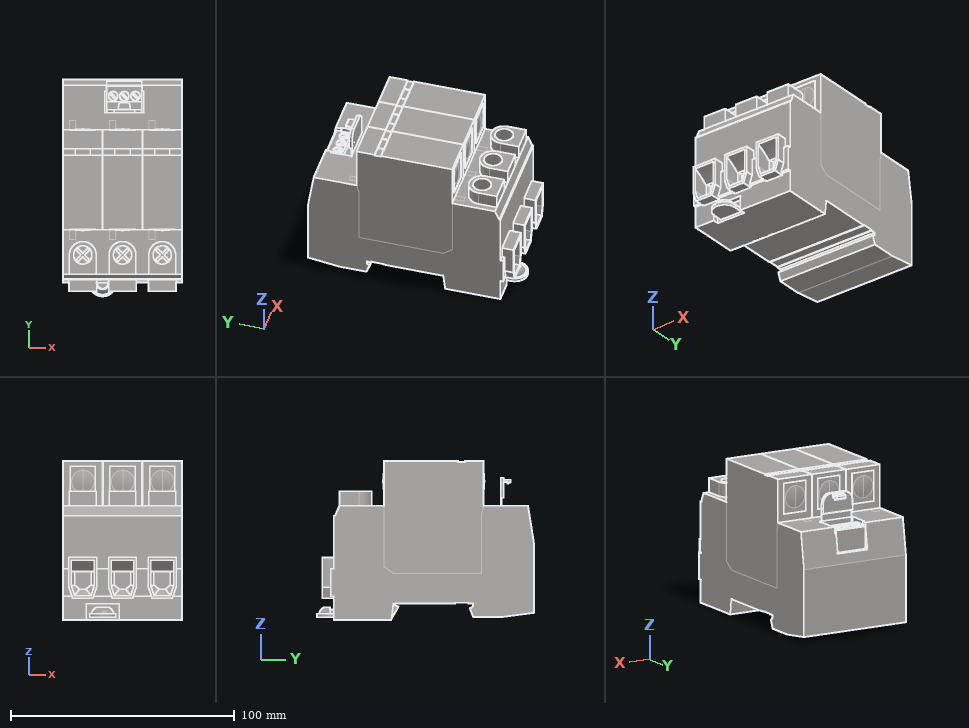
import cadquery as cq
import math


POLE_PITCH = 17.8
POLE_CENTERS = [-POLE_PITCH, 0, POLE_PITCH]
WIDTH = 3 * POLE_PITCH
LEDGE_Z = 51.25
TOP_Z = 71.3
REAR_Y = 89.75

FRONT_CHAMFER_Y = 2.5
FRONT_CHAMFER_Z = 46.8
FRONT_LIP_Y = 0.55
REAR_SLOPE_TOP_Y = 87.1
REAR_SLOPE_BASE_Z = 34.5
REAR_FOOT_Z = 1.3
RAIL_Z = 7.4
RAIL_JAW_FOOT_Y = 25.8
RAIL_FRONT_Y = 26.7
RAIL_REAR_Y = 62.3
RAIL_HOOK_TIP = (60.9, 5.2)
RAIL_HOOK_TOP_Z = 6.2
RAIL_HOOK_FOOT_Y = 62.5
REAR_FOOT_END_Y = 75.2
REAR_BOTTOM_Z = 3.2
RAIL_RELIEF = 0.3
RAIL_RELIEF_Y = (54.5, 60.2)

BAND_DEPTH = 1.3
BAND_BOTTOM_Z = 10.65
BAND_TOP_Z = 22.9
TERMINAL_DEPTH = 5.25
TERMINAL_WIDTH = 12.5
TERMINAL_FOOT_WIDTH = 9.0
TERMINAL_BOTTOM_Z = 9.7
TERMINAL_TAPER_Z = 14.8
TERMINAL_TOP_Z = 28.05
MOUTH_WIDTH = 10.1
MOUTH_FOOT_WIDTH = 7.4
MOUTH_BOTTOM_Z = 11.0
MOUTH_TAPER_Z = 15.3
MOUTH_TOP_Z = 26.8
MOUTH_CEILING_DROP = 4.9
MOUTH_CEILING_SAG = 0.35
MOUTH_DEPTH = 8.0
FUNNEL_LENGTH = 1.4
FUNNEL_END_WIDTH = 7.4
FUNNEL_END_FOOT_WIDTH = 2.9
FUNNEL_END_BOTTOM_Z = 13.9
FUNNEL_END_TAPER_Z = 15.7
FUNNEL_END_TOP_Z = 21.6

BOSS_RADIUS = 6.0
BOSS_CENTER_Y = 11.1
BOSS_TOP_Z = 57.75
SCREW_HOLE_DIAMETER = 8.2
SCREW_HOLE_DEPTH = 10.0
CROSS_WIDTH = 1.2
CROSS_LENGTH = 7.4
CROSS_DEPTH = 1.0

MODULE_FRONT_Y = 22.5
MODULE_REAR_Y = 67.1
MODULE_ENDS = [(MODULE_FRONT_Y, -1), (MODULE_REAR_Y, 1)]
MODULE_INNER_REAR_Y = 66.1
MODULE_BOTTOM_Z = 20.9
MODULE_STEP_Z = 47.4
MODULE_CHAMFER_Y = 4.2
MODULE_CHAMFER_Z = 3.1
SEAM_WIDTH = 0.2
GROOVE_Y = (55.75, 58.7)
GROOVE_DEPTH = 0.4
GRIP_WIDTH = 6.8
GRIP_DEPTH = 0.5
FOOT_OFFSET = 4.65
FOOT_WIDTH = 2.7
FOOT_LENGTH = 4.4
FOOT_HEIGHT = 2.0

WINDOW_WIDTH = 11.4
WINDOW_BOTTOM_Z = 54.8
WINDOW_TOP_Z = 69.0
WINDOW_DEPTH = 0.1
LENS_RADIUS = 5.1
LENS_HEIGHT = 0.55
LENS_Z = 62.2

CLIP_X = -POLE_PITCH / 2
CLIP_RECESS_WIDTH = 14.9
CLIP_RECESS_DEPTH = 3.0
CLIP_RECESS_TOP_Z = 7.4
TAB_RADIUS = 5.88
TAB_CENTER_Y = -1.65
TAB_BOTTOM_Z = 1.2
TAB_TOP_Z = 2.9
KNOB_BASE_RADIUS = 5.0
KNOB_TOP_RADIUS = 2.7
KNOB_TOP_Z = 5.8
KNOB_BULGE = 0.3
KNOB_POCKET_WIDTH = 4.7
KNOB_WEB_WIDTH = 7.0
KNOB_WEB_Z = 4.8
CATCH_TIP_Y = 29.1
CATCH_TIP_Z = 6.1
CATCH_BOTTOM_Z = 0.4
CATCH_STEM_Y = 27.4
CATCH_SHOULDER_Z = 6.6

CONNECTOR_X = 0.8
SOCKET_FRONT_Y = 74.8
SOCKET_WIDE_END_Y = 84.5
SOCKET_WIDE_WIDTH = 17.5
SOCKET_WIDTH = 16.2
SOCKET_MOUTH_WIDTH = 15.5
SOCKET_FLOOR_Z = 39.2
PLUG_WIDTH = 15.5
PLUG_FRONT_Y = 76.2
PLUG_STEP_Y = 79.7
PLUG_REAR_Y = REAR_SLOPE_TOP_Y
PLUG_CHAMFER = 0.5
PLUG_TOP_Z = 50.0
PLUG_STEP_DROP = 3.0
PLUG_SCREW_Y = 82.3
PLUG_SCREW_PITCH = 5.0
PLUG_SCREW_DIAMETER = 4.1
PLUG_SCREW_DEPTH = 0.6
PLUG_SLOT_WIDTH = 0.8
PLUG_SLOT_ANGLE = -45
TAG_WIDTH = PLUG_WIDTH
TAG_CREST_WIDTH = 9.2
TAG_SHEET_THICKNESS = 0.45
TAG_THICKNESS = 1.4
TAG_BOTTOM_Z = 54.8
TAG_SHOULDER_Z = 59.2
TAG_TOP_Z = 63.8
LEVER_WIDTH = 5.2
LEVER_TIP_WIDTH = 4.4
LEVER_TIP_Y = 79.4
LEVER_BARB_Y = 77.8
LEVER_BARB_Z = 61.0
LEVER_BOTTOM_Z = 61.8
LEVER_TOP_Z = 62.9
LEVER_RAMP_Y = (75.9, 76.5)


def box(x_range, y_range, z_range):
    """Axis-aligned box between the given limits."""
    (x0, x1), (y0, y1), (z0, z1) = x_range, y_range, z_range
    return cq.Workplane("XY").box(x1 - x0, y1 - y0, z1 - z0, centered=False).translate((x0, y0, z0))


def around(center, width):
    """Limits of a width centred on a position."""
    return (center - width / 2, center + width / 2)


def side_prism(points, width, center_x=0):
    """Prism along X with a (Y, Z) outline."""
    prism = cq.Workplane("YZ").polyline(points).close().extrude(width / 2, both=True)
    return prism.translate((center_x, 0, 0))


def tapered_outline(width, foot_width, bottom_z, taper_z, top_z):
    """Hexagonal (X, Z) outline with straight sides and a narrowed foot."""
    return [
        (-width / 2, top_z),
        (width / 2, top_z),
        (width / 2, taper_z),
        (foot_width / 2, bottom_z),
        (-foot_width / 2, bottom_z),
        (-width / 2, taper_z),
    ]


def front_workplane(y):
    """XZ workplane at the given Y; positive extrusion runs toward -Y."""
    return cq.Workplane("XZ", origin=(0, y, 0))


def base_body():
    body = side_prism(
        [
            (0, 0),
            (RAIL_JAW_FOOT_Y, 0),
            (RAIL_FRONT_Y, RAIL_Z),
            (RAIL_RELIEF_Y[0], RAIL_Z),
            (RAIL_RELIEF_Y[0], RAIL_Z + RAIL_RELIEF),
            (RAIL_RELIEF_Y[1], RAIL_Z + RAIL_RELIEF),
            (RAIL_RELIEF_Y[1], RAIL_Z),
            (RAIL_REAR_Y, RAIL_Z),
            (RAIL_REAR_Y, RAIL_HOOK_TOP_Z),
            RAIL_HOOK_TIP,
            (RAIL_HOOK_FOOT_Y, REAR_FOOT_Z),
            (REAR_FOOT_END_Y, REAR_FOOT_Z),
            (REAR_Y, REAR_BOTTOM_Z),
            (REAR_Y, REAR_SLOPE_BASE_Z),
            (REAR_SLOPE_TOP_Y, LEDGE_Z),
            (FRONT_CHAMFER_Y, LEDGE_Z),
            (FRONT_LIP_Y, FRONT_CHAMFER_Z),
            (0, FRONT_CHAMFER_Z),
        ],
        WIDTH,
    )
    band = box(around(0, WIDTH), (-BAND_DEPTH, 0), (BAND_BOTTOM_Z, BAND_TOP_Z))
    return body.union(band)


def terminal_shell():
    outline = tapered_outline(
        TERMINAL_WIDTH, TERMINAL_FOOT_WIDTH, TERMINAL_BOTTOM_Z, TERMINAL_TAPER_Z, TERMINAL_TOP_Z
    )
    return front_workplane(0).polyline(outline).close().extrude(TERMINAL_DEPTH)


def terminal_cavity():
    """Mouth with an arched ceiling, leading into a funnel."""
    ceiling_base_z = MOUTH_TOP_Z - MOUTH_CEILING_DROP
    mouth_end_y = MOUTH_DEPTH - TERMINAL_DEPTH
    ceiling_tilt = math.atan2(MOUTH_CEILING_DROP, MOUTH_DEPTH)
    ceiling_mid = (
        mouth_end_y - MOUTH_DEPTH / 2 + MOUTH_CEILING_SAG * math.sin(ceiling_tilt),
        MOUTH_TOP_Z - MOUTH_CEILING_DROP / 2 + MOUTH_CEILING_SAG * math.cos(ceiling_tilt),
    )

    mouth_outline = tapered_outline(
        MOUTH_WIDTH, MOUTH_FOOT_WIDTH, MOUTH_BOTTOM_Z, MOUTH_TAPER_Z, MOUTH_TOP_Z
    )
    mouth = front_workplane(mouth_end_y).polyline(mouth_outline).close().extrude(MOUTH_DEPTH)
    ceiling = (
        cq.Workplane("YZ")
        .moveTo(-TERMINAL_DEPTH, MOUTH_BOTTOM_Z)
        .lineTo(-TERMINAL_DEPTH, MOUTH_TOP_Z)
        .threePointArc(ceiling_mid, (mouth_end_y, ceiling_base_z))
        .lineTo(mouth_end_y, MOUTH_BOTTOM_Z)
        .close()
        .extrude(MOUTH_WIDTH / 2, both=True)
    )
    funnel_start = tapered_outline(
        MOUTH_WIDTH, MOUTH_FOOT_WIDTH, MOUTH_BOTTOM_Z, MOUTH_TAPER_Z, ceiling_base_z
    )
    funnel_end = tapered_outline(
        FUNNEL_END_WIDTH, FUNNEL_END_FOOT_WIDTH, FUNNEL_END_BOTTOM_Z, FUNNEL_END_TAPER_Z, FUNNEL_END_TOP_Z
    )
    funnel = (
        front_workplane(mouth_end_y)
        .polyline(funnel_start)
        .close()
        .workplane(offset=-FUNNEL_LENGTH)
        .polyline(funnel_end)
        .close()
        .loft(ruled=True)
    )
    return mouth.intersect(ceiling).union(funnel)


def screw_boss():
    height = BOSS_TOP_Z - LEDGE_Z
    barrel = cq.Workplane("XY").circle(BOSS_RADIUS).extrude(height).translate((0, BOSS_CENTER_Y, LEDGE_Z))
    front = box(around(0, 2 * BOSS_RADIUS), (FRONT_CHAMFER_Y, BOSS_CENTER_Y), (LEDGE_Z, BOSS_TOP_Z))
    return barrel.union(front)


def screw_hole():
    """Deep hole ending on a screw head with a diagonal cross recess."""
    floor_z = BOSS_TOP_Z - SCREW_HOLE_DEPTH
    hole = cq.Workplane("XY").circle(SCREW_HOLE_DIAMETER / 2).extrude(SCREW_HOLE_DEPTH)
    for angle in (45, -45):
        arm = cq.Workplane("XY").rect(CROSS_LENGTH, CROSS_WIDTH).extrude(-CROSS_DEPTH)
        hole = hole.union(arm.rotate((0, 0, 0), (0, 0, 1), angle))
    return hole.translate((0, BOSS_CENTER_Y, floor_z))


def window_recess(face_y, outward):
    """Rectangular recess in a module end; outward is the Y direction of that end."""
    inner_y = face_y - outward * WINDOW_DEPTH
    return box(
        around(0, WINDOW_WIDTH),
        (min(face_y, inner_y), max(face_y, inner_y)),
        (WINDOW_BOTTOM_Z, WINDOW_TOP_Z),
    )


def window_lens(face_y, outward):
    """Shallow spherical cap standing on the recess floor, split into two halves at X = 0."""
    sphere_radius = (LENS_RADIUS**2 + LENS_HEIGHT**2) / (2 * LENS_HEIGHT)
    half_angle = math.asin(LENS_RADIUS / sphere_radius) / 2
    arc_mid = (
        sphere_radius * math.sin(half_angle),
        LENS_HEIGHT - sphere_radius * (1 - math.cos(half_angle)),
    )
    cap = (
        cq.Workplane("XY")
        .lineTo(LENS_RADIUS, 0)
        .threePointArc(arc_mid, (0, LENS_HEIGHT))
        .close()
        .revolve(180, (0, 0), (0, 1))
        .rotate((0, 0, 0), (0, 1, 0), 90)
    )
    if outward < 0:
        cap = cap.mirror("XZ")
    cap = cap.union(cap.mirror("YZ"), clean=False)
    return cap.translate((0, face_y - outward * WINDOW_DEPTH, LENS_Z))


def module_envelope():
    return side_prism(
        [
            (MODULE_FRONT_Y, TOP_Z),
            (MODULE_REAR_Y, TOP_Z),
            (MODULE_REAR_Y, LEDGE_Z),
            (MODULE_INNER_REAR_Y, MODULE_STEP_Z),
            (MODULE_INNER_REAR_Y, MODULE_BOTTOM_Z),
            (MODULE_FRONT_Y + MODULE_CHAMFER_Y, MODULE_BOTTOM_Z),
            (MODULE_FRONT_Y, MODULE_BOTTOM_Z + MODULE_CHAMFER_Z),
        ],
        WIDTH,
    )


def modules():
    block = module_envelope()
    for seam_x in (-POLE_PITCH / 2, POLE_PITCH / 2):
        seam = box(around(seam_x, SEAM_WIDTH), (MODULE_FRONT_Y, MODULE_REAR_Y), (LEDGE_Z, TOP_Z))
        block = block.cut(seam)
    block = block.cut(box(around(0, WIDTH), GROOVE_Y, (TOP_Z - GROOVE_DEPTH, TOP_Z)))

    for x in POLE_CENTERS:
        grip_top_z = TOP_Z - GROOVE_DEPTH
        block = block.cut(box(around(x, GRIP_WIDTH), GROOVE_Y, (grip_top_z - GRIP_DEPTH, grip_top_z)))
        for face_y, outward in MODULE_ENDS:
            block = block.cut(window_recess(face_y, outward).translate((x, 0, 0)))
        foot = box(
            around(x - FOOT_OFFSET, FOOT_WIDTH),
            (MODULE_FRONT_Y - FOOT_LENGTH, MODULE_REAR_Y + FOOT_LENGTH),
            (LEDGE_Z - FOOT_HEIGHT, LEDGE_Z),
        )
        block = block.union(foot)

    for x in POLE_CENTERS:
        for face_y, outward in MODULE_ENDS:
            block = block.union(window_lens(face_y, outward).translate((x, 0, 0)), clean=False)
    return block


def clip_recess():
    return box(around(CLIP_X, CLIP_RECESS_WIDTH), (0, CLIP_RECESS_DEPTH), (0, CLIP_RECESS_TOP_Z))


def pull_tab():
    """Round-nosed plate with a half dome and web, hollowed by a round-ended pocket."""
    back = (TAB_CENTER_Y, CLIP_RECESS_DEPTH)
    thickness = TAB_TOP_Z - TAB_BOTTOM_Z
    nose = cq.Workplane("XY").circle(TAB_RADIUS).extrude(thickness).translate((0, TAB_CENTER_Y, TAB_BOTTOM_Z))
    plate = nose.intersect(
        box(around(0, 2 * TAB_RADIUS), (TAB_CENTER_Y - TAB_RADIUS, TAB_CENTER_Y), (0, TAB_TOP_Z))
    )
    plate = plate.union(box(around(0, 2 * TAB_RADIUS), back, (TAB_BOTTOM_Z, TAB_TOP_Z)))

    arc_mid = (
        (KNOB_BASE_RADIUS + KNOB_TOP_RADIUS) / 2 + KNOB_BULGE,
        (TAB_TOP_Z + KNOB_TOP_Z) / 2 + KNOB_BULGE,
    )
    knob = (
        cq.Workplane("XZ")
        .moveTo(0, TAB_TOP_Z)
        .lineTo(KNOB_BASE_RADIUS, TAB_TOP_Z)
        .threePointArc(arc_mid, (KNOB_TOP_RADIUS, KNOB_TOP_Z))
        .lineTo(0, KNOB_TOP_Z)
        .close()
        .revolve(360, (0, 0), (0, 1))
        .intersect(box(around(0, 2 * TAB_RADIUS), (-TAB_RADIUS, 0), (TAB_TOP_Z, KNOB_TOP_Z)))
        .translate((0, TAB_CENTER_Y, 0))
    )
    web = box(around(0, KNOB_WEB_WIDTH), back, (TAB_TOP_Z, KNOB_WEB_Z))
    pocket_nose = cq.Workplane("XY").circle(KNOB_POCKET_WIDTH / 2).extrude(KNOB_TOP_Z - TAB_TOP_Z)
    pocket = pocket_nose.translate((0, TAB_CENTER_Y, TAB_TOP_Z))
    pocket = pocket.union(box(around(0, KNOB_POCKET_WIDTH), back, (TAB_TOP_Z, KNOB_TOP_Z)))
    return plate.union(knob.union(web).cut(pocket)).translate((CLIP_X, 0, 0))


def clip_catch():
    """Wedge that hooks under the rail."""
    return side_prism(
        [
            (RAIL_JAW_FOOT_Y, CATCH_BOTTOM_Z),
            (CATCH_TIP_Y, CATCH_TIP_Z),
            (CATCH_STEM_Y, CATCH_SHOULDER_Z),
            (CATCH_STEM_Y, RAIL_Z),
            (RAIL_FRONT_Y, RAIL_Z),
        ],
        2 * TAB_RADIUS,
        CLIP_X,
    )


def connector_socket():
    heights = (SOCKET_FLOOR_Z, LEDGE_Z)
    wide = box(around(0, SOCKET_WIDE_WIDTH), (SOCKET_FRONT_Y, SOCKET_WIDE_END_Y), heights)
    narrow = box(around(0, SOCKET_WIDTH), (SOCKET_WIDE_END_Y, REAR_SLOPE_TOP_Y), heights)
    mouth = box(around(0, SOCKET_MOUTH_WIDTH), (REAR_SLOPE_TOP_Y, REAR_Y), heights)
    return wide.union(narrow).union(mouth).translate((CONNECTOR_X, 0, 0))


def connector_plug():
    plug = side_prism(
        [
            (PLUG_FRONT_Y, SOCKET_FLOOR_Z),
            (PLUG_REAR_Y, SOCKET_FLOOR_Z),
            (PLUG_REAR_Y, PLUG_TOP_Z - PLUG_CHAMFER),
            (PLUG_REAR_Y - PLUG_CHAMFER, PLUG_TOP_Z),
            (PLUG_STEP_Y, PLUG_TOP_Z),
            (PLUG_STEP_Y, PLUG_TOP_Z - PLUG_STEP_DROP),
            (PLUG_FRONT_Y, PLUG_TOP_Z - PLUG_STEP_DROP),
        ],
        PLUG_WIDTH,
    )
    for x in (-PLUG_SCREW_PITCH, 0, PLUG_SCREW_PITCH):
        head = cq.Workplane("XY").circle(PLUG_SCREW_DIAMETER / 2).extrude(-PLUG_SCREW_DEPTH)
        slot = cq.Workplane("XY").rect(PLUG_SCREW_DIAMETER, PLUG_SLOT_WIDTH).extrude(-2 * PLUG_SCREW_DEPTH)
        slot = slot.rotate((0, 0, 0), (0, 0, 1), PLUG_SLOT_ANGLE)
        plug = plug.cut(head.union(slot).translate((x, PLUG_SCREW_Y, PLUG_TOP_Z)))
    return plug.translate((CONNECTOR_X, 0, 0))


def connector_tag():
    """Upright tag with rounded shoulders on a thin sheet, with a release lever at its top."""
    back_y = SOCKET_FRONT_Y + TAG_THICKNESS

    sheet = box(
        around(0, TAG_WIDTH),
        (SOCKET_FRONT_Y, SOCKET_FRONT_Y + TAG_SHEET_THICKNESS),
        (SOCKET_FLOOR_Z, TAG_BOTTOM_Z),
    )
    half_tag = (
        front_workplane(back_y)
        .moveTo(0, TAG_BOTTOM_Z)
        .lineTo(TAG_WIDTH / 2, TAG_BOTTOM_Z)
        .lineTo(TAG_WIDTH / 2, TAG_SHOULDER_Z)
        .tangentArcPoint((TAG_CREST_WIDTH / 2, TAG_TOP_Z), relative=False)
        .lineTo(0, TAG_TOP_Z)
        .close()
        .extrude(TAG_THICKNESS)
    )
    tag = half_tag.union(half_tag.mirror("YZ"))
    lever = side_prism(
        [
            (SOCKET_FRONT_Y, TAG_TOP_Z),
            (LEVER_RAMP_Y[0], TAG_TOP_Z),
            (LEVER_RAMP_Y[1], LEVER_TOP_Z),
            (LEVER_TIP_Y, LEVER_TOP_Z),
            (LEVER_TIP_Y, LEVER_BOTTOM_Z),
            (LEVER_BARB_Y, LEVER_BARB_Z),
            (LEVER_BARB_Y, LEVER_BOTTOM_Z),
            (SOCKET_FRONT_Y, LEVER_BOTTOM_Z),
        ],
        LEVER_WIDTH,
    )
    lever_plan = (
        cq.Workplane("XY")
        .polyline(
            [
                (-LEVER_WIDTH / 2, SOCKET_FRONT_Y),
                (LEVER_WIDTH / 2, SOCKET_FRONT_Y),
                (LEVER_WIDTH / 2, LEVER_BARB_Y),
                (LEVER_TIP_WIDTH / 2, LEVER_TIP_Y),
                (-LEVER_TIP_WIDTH / 2, LEVER_TIP_Y),
                (-LEVER_WIDTH / 2, LEVER_BARB_Y),
            ]
        )
        .close()
        .extrude(TOP_Z)
    )
    return sheet.union(tag).union(lever.intersect(lever_plan)).translate((CONNECTOR_X, 0, 0))


base = base_body()
for pole_x in POLE_CENTERS:
    base = base.union(terminal_shell().translate((pole_x, 0, 0)))
    base = base.cut(terminal_cavity().translate((pole_x, 0, 0)))
    base = base.union(screw_boss().translate((pole_x, 0, 0)))
    base = base.cut(screw_hole().translate((pole_x, 0, 0)))

base = base.cut(clip_recess())
base = base.union(pull_tab())
base = base.union(clip_catch())

base = base.cut(connector_socket())
base = base.union(connector_plug())
base = base.union(connector_tag())

base = base.cut(module_envelope())
result = base.union(modules(), clean=False)